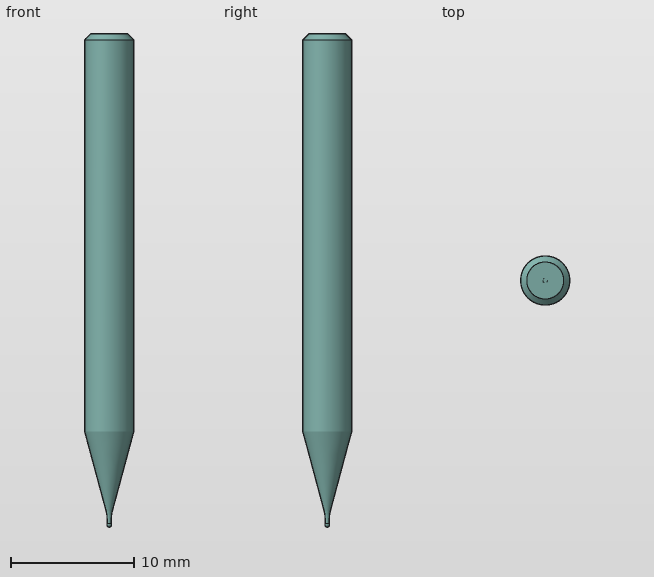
import cadquery as cq
import math

total_length = 40.0
shank_radius = 2.0
shank_chamfer = 0.5

taper_top = 7.75
taper_bottom = 1.3
taper_end_radius = 0.26

neck_radius = 0.18
neck_cone_radius = 0.2
neck_cone_height = 1.0
neck_straight_top = 0.7

cutter_radius = 0.2
cutter_top = 0.3


def make_shank():
    """Chamfered shank, long taper and slim neck, in one revolved body."""
    profile = (
        cq.Workplane("XZ")
        .moveTo(0, cutter_top)
        .lineTo(neck_radius, cutter_top)
        .lineTo(neck_radius, neck_straight_top)
        .lineTo(neck_cone_radius, neck_cone_height)
        .lineTo(taper_end_radius, taper_bottom)
        .lineTo(shank_radius, taper_top)
        .lineTo(shank_radius, total_length - shank_chamfer)
        .lineTo(shank_radius - shank_chamfer, total_length)
        .lineTo(0, total_length)
        .close()
    )
    return profile.revolve(360, (0, 0, 0), (0, 1, 0))


def make_cutter():
    """Short ball-nosed cutting tip, slightly wider than the neck above it."""
    arc_offset = cutter_radius * math.sqrt(0.5)
    profile = (
        cq.Workplane("XZ")
        .moveTo(0, 0)
        .threePointArc((arc_offset, cutter_radius - arc_offset), (cutter_radius, cutter_radius))
        .lineTo(cutter_radius, cutter_top)
        .lineTo(0, cutter_top)
        .close()
    )
    return profile.revolve(360, (0, 0, 0), (0, 1, 0))


shank = make_shank()
cutter = make_cutter()

result = cq.Compound.makeCompound([shank.val(), cutter.val()])